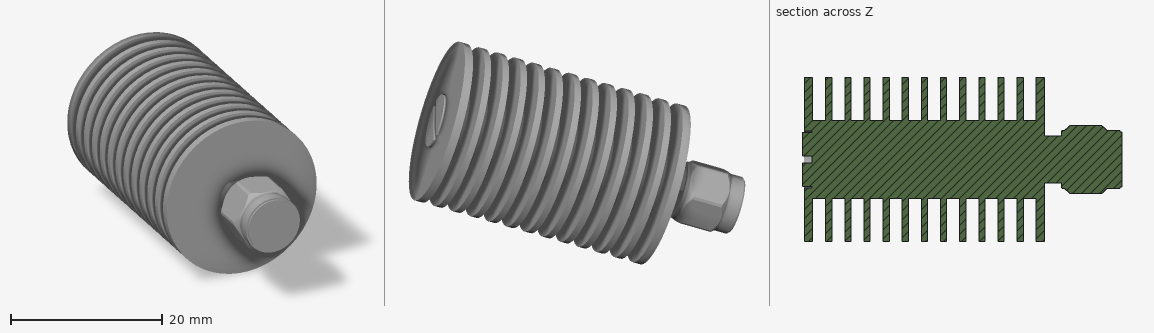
import cadquery as cq
import math


SINK_START = 0.3
SINK_END = 32.1
COLLAR_START = 34.3
NUT_START = 34.8
NUT_END = 40.4
TIP_START = 42.15
TOTAL_LENGTH = 42.4

FIN_DIAMETER = 21.85
CORE_DIAMETER = 10.4
END_FIN_THICKNESS = 1.15
FIN_THICKNESS = 0.9
INNER_FIN_COUNT = 11

SCREW_DIAMETER = 7.2
RECESS_DIAMETER = 7.45
RECESS_FLOOR = 1.27
SLOT_WIDTH = 0.9

NECK_DIAMETER = 6.28
NECK_ACROSS_FLATS = 5.0

SLEEVE_DIAMETER = 7.8
COLLAR_CHAMFER_LENGTH = 0.25
COLLAR_CHAMFER_DEPTH = 0.13
NUT_ACROSS_FLATS = 8.05
NUT_CORNER_DIAMETER = 9.08
NUT_CHAMFER_LENGTH = 0.7
TIP_DIAMETER = 7.35


def cylinder(diameter, start, end):
    """Solid cylinder on the X axis between two stations."""
    return cq.Workplane("YZ", origin=(start, 0, 0)).circle(diameter / 2).extrude(end - start)


def block(start, end, width, height):
    """Box centred on the X axis between two stations, with width along Y and height along Z."""
    return cq.Workplane("YZ", origin=(start, 0, 0)).rect(width, height).extrude(end - start)


def heat_sink():
    """Core with a thick fin at each end and evenly spaced thinner fins between them."""
    fins_total = 2 * END_FIN_THICKNESS + INNER_FIN_COUNT * FIN_THICKNESS
    gap = (SINK_END - SINK_START - fins_total) / (INNER_FIN_COUNT + 1)
    sink = cylinder(CORE_DIAMETER, SINK_START, SINK_END)
    sink = sink.union(cylinder(FIN_DIAMETER, SINK_START, SINK_START + END_FIN_THICKNESS))
    sink = sink.union(cylinder(FIN_DIAMETER, SINK_END - END_FIN_THICKNESS, SINK_END))
    first_fin = SINK_START + END_FIN_THICKNESS + gap
    for index in range(INNER_FIN_COUNT):
        start = first_fin + index * (FIN_THICKNESS + gap)
        sink = sink.union(cylinder(FIN_DIAMETER, start, start + FIN_THICKNESS))
    return sink.cut(cylinder(RECESS_DIAMETER, SINK_START, RECESS_FLOOR))


def screw_head():
    """Screw head standing slightly proud of the end fin, slotted along Z down to the recess floor."""
    slot = block(0, RECESS_FLOOR, SLOT_WIDTH, RECESS_DIAMETER)
    return cylinder(SCREW_DIAMETER, 0, RECESS_FLOOR).cut(slot)


def neck():
    """Round neck with flats on its +Z and -Z sides."""
    flats = block(SINK_END, COLLAR_START, NECK_DIAMETER, NECK_ACROSS_FLATS)
    return cylinder(NECK_DIAMETER, SINK_END, COLLAR_START).intersect(flats)


def sleeve():
    """Round body of the coupling nut: chamfered collar, barrel and smaller tip."""
    radius = SLEEVE_DIAMETER / 2
    tip_radius = TIP_DIAMETER / 2
    profile = [
        (COLLAR_START, 0),
        (COLLAR_START, radius - COLLAR_CHAMFER_DEPTH),
        (COLLAR_START + COLLAR_CHAMFER_LENGTH, radius),
        (TIP_START, radius),
        (TIP_START, tip_radius),
        (TOTAL_LENGTH, tip_radius),
        (TOTAL_LENGTH, 0),
    ]
    return cq.Workplane("XY").polyline(profile).close().revolve(360, (0, 0, 0), (1, 0, 0))


def hexagon():
    """Hexagon with flats on +Z and -Z, its corners turned down and coned at both ends."""
    across_corners = NUT_ACROSS_FLATS / math.cos(math.pi / 6)
    length = NUT_END - NUT_START
    prism = cq.Workplane("YZ", origin=(NUT_START, 0, 0)).polygon(6, across_corners).extrude(length)
    corner_radius = NUT_CORNER_DIAMETER / 2
    end_radius = SLEEVE_DIAMETER / 2
    envelope_profile = [
        (NUT_START, 0),
        (NUT_START, end_radius),
        (NUT_START + NUT_CHAMFER_LENGTH, corner_radius),
        (NUT_END - NUT_CHAMFER_LENGTH, corner_radius),
        (NUT_END, end_radius),
        (NUT_END, 0),
    ]
    envelope = cq.Workplane("XY").polyline(envelope_profile).close().revolve(360, (0, 0, 0), (1, 0, 0))
    return prism.intersect(envelope)


result = heat_sink().union(screw_head()).union(neck()).union(sleeve()).union(hexagon())